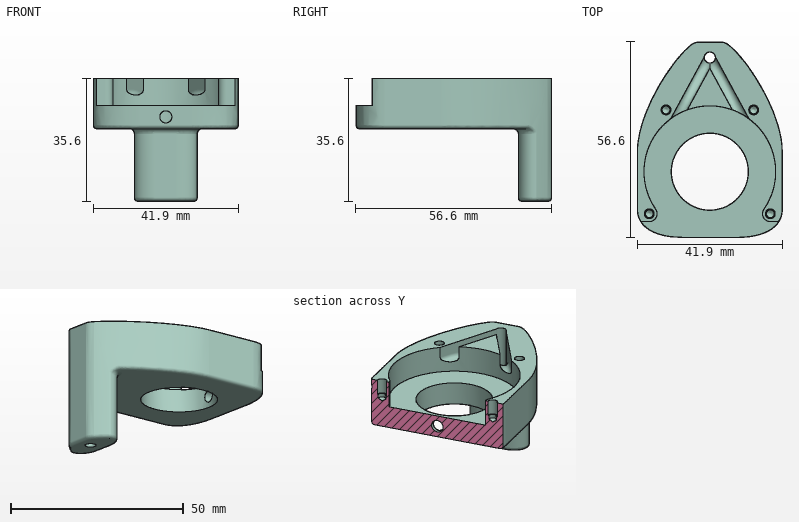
import cadquery as cq
import math

half_width = 20.95
front_y = -19.05
back_y = 37.5
plate_thickness = 14.6
total_height = 35.55
bottom_fillet = 1.0
root_fillet = 1.5

clearance = 0.55

back_flat_half = 3.4
front_flat_half = 7.6
side_front_y = -10.8
side_back_y = 5.75
corner_pull = 0.63
flank_start_pull = 10.75
flank_end_x = 5.75
flank_end_y = 36.4
flank_end_slope = 0.85
flank_end_pull = 6.0

stem_half_width = 9.1
stem_front_y = 27.85
stem_flat_half = 3.15
stem_corner_depth = 4.25

bore_diameter = 22.2
recess_radius = 19.05
recess_depth = 7.8
post_radius = 2.25
post_angle = math.radians(-34.8)
post_distance = recess_radius + post_radius
post_x = post_distance * math.cos(post_angle)
post_y = post_distance * math.sin(post_angle)

screw_diameter = 2.25
screw_mouth_diameter = 2.8
screw_mouth_depth = 4.5
screw_depth = 5.65
drill_point_angle = 118
back_screw_x = 12.65
back_screw_y = 17.85

cable_diameter = 3.15
channel_width = 3.0
cable_y = 33.0
channel_depth = 4.8
bend_radius = 17.2
channel_length = 22.6
channel_angle = 28.5
front_hole_diameter = 3.5
front_hole_depth = 11.15


def mirrored(points):
    return [(-x, y) for x, y in reversed(points)]


def body_outline():
    """Closed plan outline, symmetric about the YZ plane."""
    corner = [
        (front_flat_half, front_y),
        (front_flat_half + corner_pull * (half_width - front_flat_half), front_y),
        (half_width, side_front_y - corner_pull * (side_front_y - front_y)),
        (half_width, side_front_y),
    ]
    flank = [
        (half_width, side_back_y),
        (half_width, side_back_y + flank_start_pull),
        (flank_end_x + flank_end_pull, flank_end_y - flank_end_slope * flank_end_pull),
        (flank_end_x, flank_end_y),
    ]
    nose_x = flank_end_x - (back_y - flank_end_y) / flank_end_slope
    nose = [(flank_end_x, flank_end_y), (nose_x, back_y), (back_flat_half, back_y)]
    return (
        cq.Workplane("XY")
        .moveTo(-front_flat_half, front_y)
        .lineTo(front_flat_half, front_y)
        .bezier(corner)
        .lineTo(half_width, side_back_y)
        .bezier(flank)
        .bezier(nose)
        .lineTo(-back_flat_half, back_y)
        .bezier(mirrored(nose))
        .bezier(mirrored(flank))
        .lineTo(-half_width, side_front_y)
        .bezier(mirrored(corner))
        .close()
    )


def stem_block(height):
    """Stem plan with elliptical front corners, open to the back of the outline."""
    corner_width = stem_half_width - stem_flat_half
    shoulder_y = stem_front_y + stem_corner_depth
    return (
        cq.Workplane("XY")
        .moveTo(-stem_flat_half, stem_front_y)
        .lineTo(stem_flat_half, stem_front_y)
        .ellipseArc(corner_width, stem_corner_depth, 270, 360, startAtCurrent=True)
        .lineTo(stem_half_width, back_y + clearance)
        .lineTo(-stem_half_width, back_y + clearance)
        .lineTo(-stem_half_width, shoulder_y)
        .ellipseArc(corner_width, stem_corner_depth, 180, 270, startAtCurrent=True)
        .close()
        .extrude(-height)
    )


def edges_at_plate_bottom(x_limit, y_min, y_max):
    """Selects edges centred near the underside of the plate within a plan rectangle."""
    tolerance = 0.085
    return cq.selectors.BoxSelector(
        (-x_limit, y_min, -plate_thickness - tolerance),
        (x_limit, y_max, -plate_thickness + tolerance),
    )


def make_body():
    """Plate and stem share one outer wall; the stem root flares into the plate."""
    below_plate = (
        cq.Workplane("XY", origin=(0, 0, -plate_thickness))
        .rect(4 * half_width, 4 * back_y)
        .extrude(plate_thickness - total_height)
    )
    around_stem = below_plate.cut(stem_block(total_height))
    body = body_outline().extrude(-total_height).cut(around_stem)
    stem_shoulder_y = stem_front_y + stem_corner_depth
    root_edges = edges_at_plate_bottom(
        stem_half_width + clearance,
        stem_front_y - clearance,
        stem_shoulder_y + clearance,
    )
    body = body.edges(root_edges).fillet(root_fillet)
    rim_back_limit = stem_front_y - 2 * root_fillet
    rim_edges = edges_at_plate_bottom(half_width + clearance, front_y - clearance, rim_back_limit)
    body = body.edges(rim_edges).fillet(bottom_fillet)
    return body.faces("<Z").edges().fillet(bottom_fillet)


def recess_cut():
    """Round recess opening to the front between two rounded posts."""
    touch = recess_radius / post_distance
    step_y = post_y - post_radius
    right_side = [
        (half_width + clearance, front_y - clearance),
        (half_width + clearance, step_y),
        (post_x, step_y),
        (post_x, post_y),
        (post_x * touch, post_y * touch),
    ]
    opening = cq.Workplane("XY").polyline(right_side + mirrored(right_side)).close().extrude(-recess_depth)
    posts = (
        cq.Workplane("XY")
        .pushPoints([(-post_x, post_y), (post_x, post_y)])
        .circle(post_radius)
        .extrude(-recess_depth)
    )
    circle = cq.Workplane("XY").circle(recess_radius).extrude(-recess_depth)
    return opening.cut(posts).union(circle)


def channel_cut(side):
    """Open channel, level near the recess, whose round floor bends down into the cable hole."""
    radius = channel_width / 2
    axis_z = radius - channel_depth
    bend_mid_x = bend_radius * (1 - math.sqrt(0.5))
    bend_mid_z = axis_z - bend_mid_x
    slot = (
        cq.Workplane("XZ")
        .moveTo(0, 0)
        .lineTo(0, axis_z - bend_radius)
        .threePointArc((bend_mid_x, bend_mid_z), (bend_radius, axis_z))
        .lineTo(channel_length, axis_z)
        .lineTo(channel_length, 0)
        .close()
        .extrude(radius, both=True)
    )
    bend = (
        cq.Workplane("YZ", origin=(bend_radius, 0, axis_z))
        .circle(radius)
        .revolve(90, (0, -bend_radius, 0), (-1, -bend_radius, 0))
    )
    straight = (
        cq.Workplane("YZ", origin=(bend_radius, 0, axis_z))
        .circle(radius)
        .extrude(channel_length - bend_radius)
    )
    channel = slot.union(bend).union(straight)
    heading = side * channel_angle - 90
    return channel.rotate((0, 0, 0), (0, 0, 1), heading).translate((0, cable_y, 0))


def screw_hole(x, y):
    """Blind stepped hole with a conical bottom."""
    radius = screw_diameter / 2
    mouth_radius = screw_mouth_diameter / 2
    tip = radius / math.tan(math.radians(drill_point_angle / 2))
    profile = [
        (0, 0),
        (mouth_radius, 0),
        (mouth_radius, -screw_mouth_depth),
        (radius, -screw_mouth_depth),
        (radius, -screw_depth),
        (0, -screw_depth - tip),
    ]
    hole = cq.Workplane("XZ").polyline(profile).close().revolve(360, (0, 0, 0), (0, 1, 0))
    return hole.translate((x, y, 0))


result = make_body().cut(recess_cut())
result = result.cut(cq.Workplane("XY").circle(bore_diameter / 2).extrude(-plate_thickness))
result = result.cut(cq.Workplane("XY").center(0, cable_y).circle(cable_diameter / 2).extrude(-total_height))

for side in (-1, 1):
    result = result.cut(channel_cut(side))
    result = result.cut(screw_hole(side * post_x, post_y))
    result = result.cut(screw_hole(side * back_screw_x, back_screw_y))

front_hole = (
    cq.Workplane("XZ")
    .center(0, -front_hole_depth)
    .circle(front_hole_diameter / 2)
    .extrude(-front_y)
)
result = result.cut(front_hole)